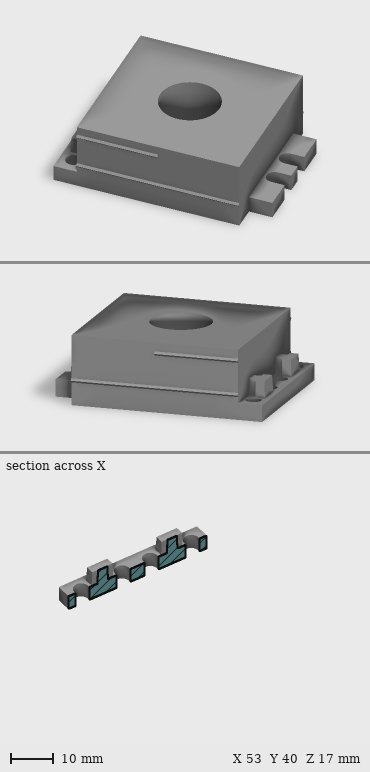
import cadquery as cq

total_length = 53.0
total_height = 17.0
body_width = 39.0
flange_length = 5.95
body_length = total_length - 2 * flange_length
body_left = -body_length / 2
body_right = body_length / 2

left_flange_height = 4.05
right_flange_height = 4.2
right_flange_width = 27.1

fixing_inset = 3.45
hole_diameter = 3.85
slot_width = 4.05
inner_fixing_y = 4.0
outer_fixing_y = 15.55

bore_diameter = 15.0

lug_y = 9.8
lug_end_inset = 1.55
lug_head_depth = 2.35
lug_head_width = 6.1
lug_stem_width = 3.15
lug_height = 4.0
lug_draft = 0.185

ridge_depth = 0.505
ridge_half_height = 0.505
lower_ridge_z = 6.05
upper_ridge_z = 14.35
upper_ridge_length = body_length / 2


def block(x_start, x_end, width, height):
    """Box resting on Z = 0 and centred on Y."""
    return (
        cq.Workplane("XY")
        .box(x_end - x_start, width, height, centered=(False, True, False))
        .translate((x_start, 0, 0))
    )


def lug_bar(x_front_base, x_front_top, x_back, base_width):
    """Bar with drafted sides, lofted from the flange up to the lug top."""
    bar = cq.Workplane("XY")
    top_width = base_width - 2 * lug_draft
    for x_front, width, rise in ((x_front_base, base_width, 0), (x_front_top, top_width, lug_height)):
        bar = bar.workplane(offset=rise).polyline([
            (x_front, -width / 2),
            (x_back, -width / 2),
            (x_back, width / 2),
            (x_front, width / 2),
        ]).close()
    return bar.loft(ruled=True)


def t_lug(y):
    """Head parallel to the body wall, joined to the wall by a stem."""
    head_front = -total_length / 2 + lug_end_inset
    head_back = head_front + lug_head_depth
    stem_front = head_back - lug_head_depth / 2
    head = lug_bar(head_front, head_front + lug_draft, head_back, lug_head_width)
    stem = lug_bar(stem_front, stem_front, body_left, lug_stem_width)
    return head.union(stem).translate((0, y, left_flange_height))


def ridge(side, z, length):
    """Triangular ridge starting at the left body wall; side is +1 or -1 in Y."""
    wall_y = side * body_width / 2
    return (
        cq.Workplane("YZ", origin=(body_left, 0, 0))
        .polyline([
            (0, z - ridge_half_height),
            (wall_y, z - ridge_half_height),
            (wall_y + side * ridge_depth, z),
            (wall_y, z + ridge_half_height),
            (0, z + ridge_half_height),
        ])
        .close()
        .extrude(length)
    )


result = block(body_left, body_right, body_width, total_height)
result = result.union(block(-total_length / 2, body_left, body_width, left_flange_height))
result = result.union(block(body_right, total_length / 2, right_flange_width, right_flange_height))

for side in (-1, 1):
    result = result.union(ridge(side, lower_ridge_z, body_length))
    result = result.union(ridge(side, upper_ridge_z, upper_ridge_length))
    result = result.union(t_lug(side * lug_y))

result = result.cut(cq.Workplane("XY").circle(bore_diameter / 2).extrude(total_height))

hole_x = -total_length / 2 + fixing_inset
hole_points = [(hole_x, side * y) for side in (-1, 1) for y in (inner_fixing_y, outer_fixing_y)]
holes = cq.Workplane("XY").pushPoints(hole_points).circle(hole_diameter / 2).extrude(left_flange_height)
result = result.cut(holes)

slot_length = 2 * fixing_inset + slot_width
slot_points = [(total_length / 2, side * inner_fixing_y) for side in (-1, 1)]
slots = cq.Workplane("XY").pushPoints(slot_points).slot2D(slot_length, slot_width).extrude(right_flange_height)
result = result.cut(slots)